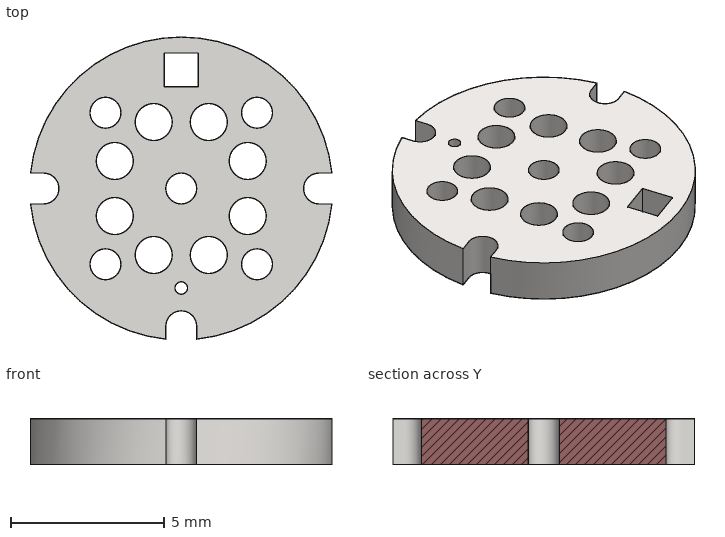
import cadquery as cq

disc_diameter = 9.9
thickness = 1.5

small_hole_diameter = 1.0
corner_circle_radius = 3.5
corner_hole_count = 4
corner_start_angle = 45.0

large_hole_diameter = 1.2
ring_circle_radius = 2.35
ring_hole_count = 8
ring_start_angle = 22.5

pin_hole_diameter = 0.4
pin_hole_y = -3.25

window_side = 1.1
window_center_y = 3.875

notch_width = 1.0
notch_floor_radius = 4.0
notch_angles = (0.0, 180.0, 270.0)


def make_disc():
    return cq.Workplane("XY").circle(disc_diameter / 2).extrude(thickness)


def hole_circle(diameter, circle_radius, start_angle, count):
    """Evenly spaced through holes on a circle about the disc axis."""
    return (
        cq.Workplane("XY")
        .polarArray(circle_radius, start_angle, 360, count)
        .circle(diameter / 2)
        .extrude(thickness)
    )


def single_hole(diameter, y):
    """Through hole on the Y axis."""
    return cq.Workplane("XY").center(0, y).circle(diameter / 2).extrude(thickness)


def make_window():
    return (
        cq.Workplane("XY")
        .center(0, window_center_y)
        .rect(window_side, window_side)
        .extrude(thickness)
    )


def rim_notch(angle):
    """Radial notch open at the rim, turned from +X by the given angle."""
    half_width = notch_width / 2
    arc_center_x = notch_floor_radius + half_width
    outer_x = disc_diameter / 2 + half_width
    return (
        cq.Workplane("XY")
        .moveTo(outer_x, -half_width)
        .lineTo(arc_center_x, -half_width)
        .threePointArc((notch_floor_radius, 0), (arc_center_x, half_width))
        .lineTo(outer_x, half_width)
        .close()
        .extrude(thickness)
        .rotate((0, 0, 0), (0, 0, 1), angle)
    )


result = make_disc()
result = result.cut(single_hole(small_hole_diameter, 0))
result = result.cut(
    hole_circle(small_hole_diameter, corner_circle_radius, corner_start_angle, corner_hole_count)
)
result = result.cut(
    hole_circle(large_hole_diameter, ring_circle_radius, ring_start_angle, ring_hole_count)
)
result = result.cut(single_hole(pin_hole_diameter, pin_hole_y))
result = result.cut(make_window())
for notch_angle in notch_angles:
    result = result.cut(rim_notch(notch_angle))